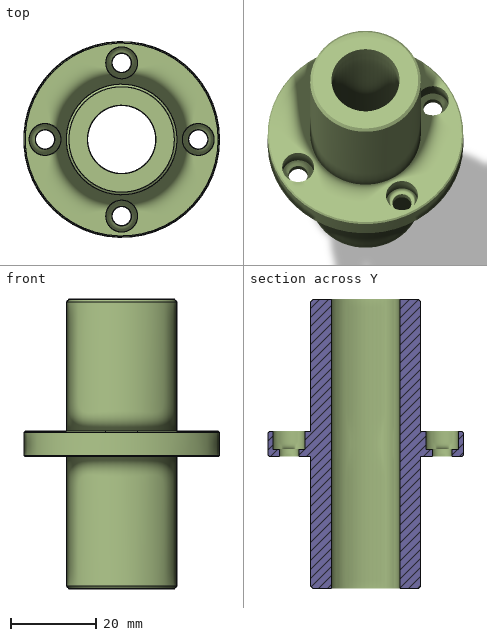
import cadquery as cq

sleeve_length = 68.0
sleeve_diameter = 26.0
bore_diameter = 16.0
sleeve_chamfer = 0.6

flange_diameter = 46.0
flange_thickness = 6.0
flange_chamfer = 0.35

hole_count = 4
bolt_circle_diameter = 36.0
hole_diameter = 4.5
counterbore_diameter = 7.5
counterbore_depth = 4.2


def centred_cylinder(diameter, length, chamfer):
    """Cylinder along Z, centred on the origin, with both rims chamfered."""
    cylinder = cq.Workplane("XY").cylinder(length, diameter / 2)
    return cylinder.edges("%CIRCLE").chamfer(chamfer)


sleeve = centred_cylinder(sleeve_diameter, sleeve_length, sleeve_chamfer)
flange = centred_cylinder(flange_diameter, flange_thickness, flange_chamfer)

flange = (
    flange.faces(">Z")
    .workplane()
    .polarArray(bolt_circle_diameter / 2, 0, 360, hole_count)
    .cboreHole(hole_diameter, counterbore_diameter, counterbore_depth)
)

bore = cq.Workplane("XY").cylinder(sleeve_length, bore_diameter / 2)

result = sleeve.union(flange).cut(bore)